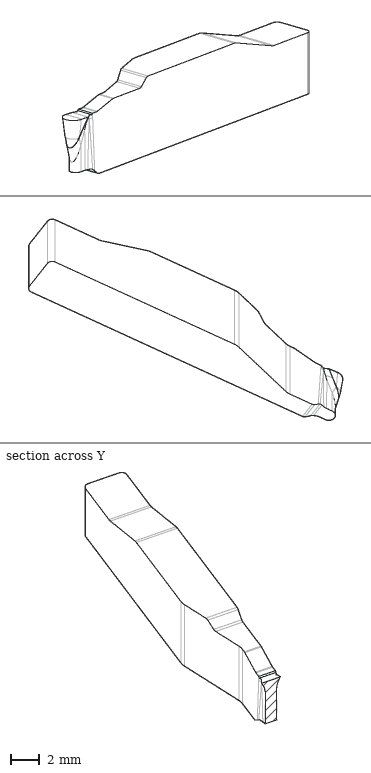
import math

import cadquery as cq


LENGTH = 25.05
HEIGHT = 5.79
BODY_WIDTH = 3.2
NOSE_RADIUS = 0.75
NOSE_OVERHANG = 0.1
NECK_HALF_WIDTH = NOSE_RADIUS - NOSE_OVERHANG
AXIS_X = BODY_WIDTH - NECK_HALF_WIDTH
CLEAR = 1.0

EDGE_Z = 4.52
SHELF_Z = 4.6
NECK_TOP_Z = 5.12

STEP_FRONT_Y = 1.95
STEP_REAR_Y = 2.05
FRONT_RAMP_START_Y = 2.5
FRONT_RAMP_END_Y = 4.2
SHOULDER_Y = 7.1
REAR_RAMP_START_Y = 17.05
REAR_RAMP_END_Y = 21.0
RAMP_ROUND = 0.25
SHOULDER_ROUND = 0.25
REAR_ROUND = 0.7

RELIEF_Z = 0.52
RELIEF_FRONT_Y = 2.02
RELIEF_REAR_Y = 2.64
RELIEF_ROUND = 0.3

TAPER_FRONT_Y = 4.74
TAPER_REAR_Y = 9.96
TAPER_ROUND = 1.1
REAR_CORNER_ROUND = 0.4
NECK_JOINT_Y = 3.0

COLUMN_TIP_Y = 0.56
COLUMN_HALF_WIDTH = 0.46
COLUMN_CENTRE_Y = COLUMN_TIP_Y + COLUMN_HALF_WIDTH
COLUMN_WAIST_Y = 1.61
NECK_END_BOTTOM_Y = 2.2
NECK_END_TOP_Y = 1.8
NECK_END_ROUND = 0.5
WAIST_ROUND = 0.7

UPPER_CLEARANCE_SLOPE = math.tan(math.radians(7))
LOWER_CLEARANCE_SLOPE = math.tan(math.radians(12))
CLEARANCE_BREAK_Z = 3.1
HEAD_BOTTOM_Z = 2.0
BREAK_RADIUS = NOSE_RADIUS - UPPER_CLEARANCE_SLOPE * (EDGE_Z - CLEARANCE_BREAK_Z)
BOTTOM_RADIUS = BREAK_RADIUS - LOWER_CLEARANCE_SLOPE * (CLEARANCE_BREAK_Z - HEAD_BOTTOM_Z)
HEAD_BACK_Y = 1.47

UNDERSIDE_TIP_Z = 2.37
UNDERSIDE_TIP_Y = (
    NOSE_RADIUS - BREAK_RADIUS + LOWER_CLEARANCE_SLOPE * (CLEARANCE_BREAK_Z - UNDERSIDE_TIP_Z)
)
UNDERSIDE_SLOPE = (EDGE_Z - UNDERSIDE_TIP_Z) / (HEAD_BACK_Y - UNDERSIDE_TIP_Y)

FLARE_START_Z = 1.25
FLARE_START_SLOPE = math.tan(math.radians(69))
FLARE_BACK_Y = 1.95
FLARE_FRONT_HALF_WIDTH = 0.55
FLARE_ARC_STEPS = 8

LAND_LENGTH = 0.8
GROOVE_DEPTH = 0.03


def round_edges(solid, points, radius):
    """Round the edges whose midpoints lie nearest to the given points."""
    for point in points:
        solid = solid.edges(cq.selectors.NearestToPointSelector(point)).fillet(radius)
    return solid


def side_profile():
    """Full-width bar with the length-wise outline of the part."""
    shoulder_top_y = SHOULDER_Y + HEIGHT - NECK_TOP_Z
    outline = [
        (COLUMN_TIP_Y - CLEAR, RELIEF_Z),
        (RELIEF_FRONT_Y, RELIEF_Z),
        (RELIEF_REAR_Y, 0),
        (LENGTH, 0),
        (LENGTH, EDGE_Z),
        (REAR_RAMP_END_Y, EDGE_Z),
        (REAR_RAMP_START_Y, HEIGHT),
        (shoulder_top_y, HEIGHT),
        (SHOULDER_Y, NECK_TOP_Z),
        (FRONT_RAMP_END_Y, NECK_TOP_Z),
        (FRONT_RAMP_START_Y, SHELF_Z),
        (STEP_REAR_Y, SHELF_Z),
        (STEP_FRONT_Y, EDGE_Z),
        (COLUMN_TIP_Y - CLEAR, EDGE_Z),
    ]
    bar = cq.Workplane("YZ").polyline(outline).close().extrude(BODY_WIDTH)
    mid_x = BODY_WIDTH / 2
    roundings = [
        (RELIEF_ROUND, [(RELIEF_FRONT_Y, RELIEF_Z), (RELIEF_REAR_Y, 0)]),
        (REAR_ROUND, [(REAR_RAMP_END_Y, EDGE_Z), (REAR_RAMP_START_Y, HEIGHT)]),
        (SHOULDER_ROUND, [(shoulder_top_y, HEIGHT), (SHOULDER_Y, NECK_TOP_Z)]),
        (RAMP_ROUND, [(FRONT_RAMP_END_Y, NECK_TOP_Z), (FRONT_RAMP_START_Y, SHELF_Z)]),
    ]
    for radius, corners in roundings:
        bar = round_edges(bar, [(mid_x, y, z) for y, z in corners], radius)
    return bar


def body_plan():
    """Body outline seen along Z: wide rear, one-sided taper, narrow neck."""
    neck_x = AXIS_X - NECK_HALF_WIDTH
    outline = [
        (neck_x, NECK_JOINT_Y),
        (BODY_WIDTH, NECK_JOINT_Y),
        (BODY_WIDTH, LENGTH),
        (0, LENGTH),
        (0, TAPER_REAR_Y),
        (neck_x, TAPER_FRONT_Y),
    ]
    plan = cq.Workplane("XY").polyline(outline).close().extrude(HEIGHT)
    mid_z = HEIGHT / 2
    rear_corners = [(0, LENGTH, mid_z), (BODY_WIDTH, LENGTH, mid_z)]
    taper_corners = [(0, TAPER_REAR_Y, mid_z), (neck_x, TAPER_FRONT_Y, mid_z)]
    plan = round_edges(plan, rear_corners, REAR_CORNER_ROUND)
    return round_edges(plan, taper_corners, TAPER_ROUND)


def column_section(plane, neck_end_y):
    """Draw the closed column outline, symmetric about the nose axis."""
    return (
        plane.moveTo(-NECK_HALF_WIDTH, NECK_JOINT_Y)
        .lineTo(-NECK_HALF_WIDTH, neck_end_y)
        .lineTo(-COLUMN_HALF_WIDTH, COLUMN_WAIST_Y)
        .lineTo(-COLUMN_HALF_WIDTH, COLUMN_CENTRE_Y)
        .threePointArc((0, COLUMN_TIP_Y), (COLUMN_HALF_WIDTH, COLUMN_CENTRE_Y))
        .lineTo(COLUMN_HALF_WIDTH, COLUMN_WAIST_Y)
        .lineTo(NECK_HALF_WIDTH, neck_end_y)
        .lineTo(NECK_HALF_WIDTH, NECK_JOINT_Y)
        .close()
    )


def neck_column():
    """Upright column; the end of its wide part leans forward towards the top."""
    base = cq.Workplane("XY", origin=(AXIS_X, 0, 0))
    lower = column_section(base, NECK_END_BOTTOM_Y)
    column = column_section(lower.workplane(offset=HEIGHT), NECK_END_TOP_Y).loft(ruled=True)
    mid_z = HEIGHT / 2
    neck_end_y = (NECK_END_BOTTOM_Y + NECK_END_TOP_Y) / 2
    for side in (-1, 1):
        waist = (AXIS_X + side * COLUMN_HALF_WIDTH, COLUMN_WAIST_Y, mid_z)
        neck_end = (AXIS_X + side * NECK_HALF_WIDTH, neck_end_y, mid_z)
        column = round_edges(column, [waist], WAIST_ROUND)
        column = round_edges(column, [neck_end], NECK_END_ROUND)
    return column


def head_section(z, radius):
    """Round-nosed outline at height z with straight sides running back."""
    return (
        cq.Workplane("XY", origin=(AXIS_X, 0, z))
        .moveTo(-radius, HEAD_BACK_Y)
        .lineTo(-radius, NOSE_RADIUS)
        .threePointArc((0, NOSE_RADIUS - radius), (radius, NOSE_RADIUS))
        .lineTo(radius, HEAD_BACK_Y)
        .close()
        .val()
    )


def clearance_block():
    """Round nose whose front and sides draw in with depth, faster below the break."""
    edge = head_section(EDGE_Z, NOSE_RADIUS)
    clearance_break = head_section(CLEARANCE_BREAK_Z, BREAK_RADIUS)
    bottom = head_section(HEAD_BOTTOM_Z, BOTTOM_RADIUS)
    upper = cq.Workplane(cq.Solid.makeLoft([clearance_break, edge], True))
    lower = cq.Workplane(cq.Solid.makeLoft([bottom, clearance_break], True))
    return upper.union(lower)


def underside_wedge():
    """Space above the sloping underside of the nose."""
    front_y = UNDERSIDE_TIP_Y - CLEAR
    front_z = UNDERSIDE_TIP_Z - CLEAR * UNDERSIDE_SLOPE
    outline = [(HEAD_BACK_Y, EDGE_Z), (front_y, EDGE_Z), (front_y, front_z)]
    return cq.Workplane("YZ").polyline(outline).close().extrude(BODY_WIDTH + CLEAR)


def flare_section(tip_y, tip_z, slope, stations):
    """Outline on a plane rising backwards from the tip.

    The stations are (Y, half width) pairs; a half ellipse joins the tip to the first.
    """

    def on_plane(x, y):
        return cq.Vector(AXIS_X + x, y, tip_z + slope * (y - tip_y))

    arc_y, arc_half_width = stations[0]
    arc_points = []
    for step in range(FLARE_ARC_STEPS + 1):
        angle = math.pi * step / FLARE_ARC_STEPS
        x = -arc_half_width * math.cos(angle)
        y = arc_y - (arc_y - tip_y) * math.sin(angle)
        arc_points.append(on_plane(x, y))
    corners = [on_plane(half_width, y) for y, half_width in stations]
    corners += [on_plane(-half_width, y) for y, half_width in reversed(stations)]
    edges = [cq.Edge.makeSpline(arc_points)]
    edges += [cq.Edge.makeLine(start, end) for start, end in zip(corners, corners[1:])]
    return cq.Wire.assembleEdges(edges)


def flare():
    """Flare that widens the column out to the underside of the nose."""
    column_stations = [
        (COLUMN_CENTRE_Y, COLUMN_HALF_WIDTH),
        (COLUMN_WAIST_Y, COLUMN_HALF_WIDTH),
        (FLARE_BACK_Y, NECK_HALF_WIDTH),
    ]
    head_stations = [
        (NOSE_RADIUS, FLARE_FRONT_HALF_WIDTH),
        ((NOSE_RADIUS + HEAD_BACK_Y) / 2, (FLARE_FRONT_HALF_WIDTH + NOSE_RADIUS) / 2),
        (HEAD_BACK_Y, NOSE_RADIUS),
    ]
    lower = flare_section(COLUMN_TIP_Y, FLARE_START_Z, FLARE_START_SLOPE, column_stations)
    upper = flare_section(UNDERSIDE_TIP_Y, UNDERSIDE_TIP_Z, UNDERSIDE_SLOPE, head_stations)
    loft = cq.Workplane(cq.Solid.makeLoft([lower, upper], True))
    below_edge = cq.Workplane("XY").rect(2 * LENGTH, 2 * LENGTH).extrude(EDGE_Z)
    return loft.intersect(below_edge)


def chip_groove():
    """Shallow V-shaped groove behind the flat land of the cutting edge."""
    outline = [(LAND_LENGTH, EDGE_Z), (HEAD_BACK_Y, EDGE_Z - GROOVE_DEPTH), (STEP_FRONT_Y, EDGE_Z)]
    return cq.Workplane("YZ").polyline(outline).close().extrude(BODY_WIDTH + CLEAR)


head = clearance_block().intersect(underside_wedge())
shank = body_plan().union(neck_column()).intersect(side_profile())
result = shank.union(flare()).union(head).cut(chip_groove())